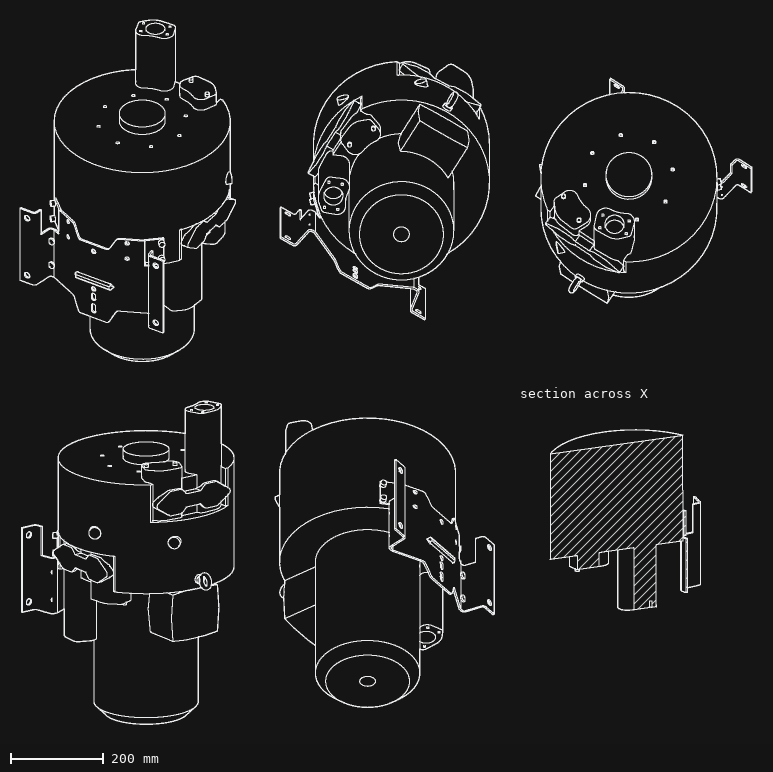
import cadquery as cq
import math


drum_radius = 190.0
drum_height = 246.5
hub_radius = 49.5
hub_height = 20.0
motor_radius = 112.8
motor_bottom = -552.5
cone_radius = 90.5
cone_bottom = -575.0
dome_radius = 17.0
dome_tip = -582.03
cover_hole_count = 8
cover_hole_circle = 96.0
cover_hole_diameter = 7.0
cover_hole_depth = 10.0

upper_tilt = -1.33
lower_tilt = 0.0
port_circle = 148.4
port_angle = 22.5
flat_distance = 160.0
flat_depth = 85.0
pocket_front = 140.0
pocket_inner_x = 70.0
pocket_outer_x = 96.0
tube_top = 140.0
tube_bore_diameter = 41.0
tube_bore_depth = 40.0
tube_hole_circle = 32.5
tube_hole_angles = (-5.0, 48.0, 175.0, 228.0)
tube_hole_diameter = 5.0
tube_hole_depth = 15.0
cap_height = 28.0
cap_bolt_offsets = ((-28.0, 10.5), (30.0, -14.5))
cap_bolt_diameter = 9.0
cap_bolt_height = 6.5
flange_half_span = 103.0
flange_gap = 4.0
flange_back = 177.0
flange_top = -18.0
flange_bottom = -73.5
flange_tip_level = -46.0
flange_flat_start = 31.0
flange_flat_end = 62.0
flange_corner_radius = 8.0
neck_height = 30.0
plug_offset = 86.3
plug_diameter = 26.0
plug_end = 176.25
plug_length = 30.0
plug_level = -118.5
group_mid_level = -125.5

box_back = 177.0
box_mid_level = -306.0
box_half_height = 56.0
box_shoulder_half_height = 52.5
box_half_width = 64.0
box_shoulder_half_width = 60.0
box_top_half_width = 25.0

eye_level = -224.7
eye_tip = 231.84
eye_outer_radius = 18.9
eye_inner_radius = 10.2
eye_half_thickness = 5.5
eye_collar_radius = 10.0
eye_neck_radius = 6.0
eye_collar_end = drum_radius + 6.5
eye_neck_end = eye_collar_end + 4.0

sheet = 4.0
bracket_back = -206.0
plate_y = -195.0
bracket_top = -176.7
bracket_bottom = -367.8
tongue_top = -208.7
tongue_bottom = -402.7
tongue_half_width = 37.0
tongue_shoulder = 54.5
tongue_corner_radius = 8.0
bend_start_x = 36.0
bend_end = (44.5, -192.9)
strip_start = (124.5, -155.7)
strip_end = (136.6, -155.7)
foot_bend_x = 145.1
foot_end_x = 182.0
bend_radius = 4.0
leg_notch_level = -242.0
leg_notch_y = -185.6
leg_notch_x = 109.5
wing_bottom = -235.0
wing_angle = -46.9
wing_radius = drum_radius + 1.8
wing_start = -33.0
wing_end = 10.3
wing_bolt_offset = 4.5
wing_bolt_diameter = 13.0
wing_bolt_height = 9.0
upper_hole_levels = (-186.0, -226.5)
side_hole_x = 75.2
side_hole_diameter = 8.5
strip_bolt_levels = (-273.0, -336.0)
strip_bolt_x = 130.5
strip_bolt_diameter = 15.0
strip_bolt_front = -161.5
foot_hole_x = 164.0
foot_hole_levels = (-195.7, -347.5)
foot_hole_diameter = 13.5
tongue_hole_diameter = 10.5
tongue_hole_levels = (-226.7, -326.6)
tongue_slots = ((-347.6, 18.5), (-377.8, 23.5))
rib_level = -305.0
rib_half_height = 8.5
rib_crest_half_height = 3.5
rib_projection = 4.5
rib_half_length = 42.0
rib_tip = 50.0
spacer_radius = 11.0
spacer_embed = 2.0

wide = 500.0
clearance = 1.0


def polar(radius, degrees):
    """Point in the XY plane at a radius and an angle."""
    angle = math.radians(degrees)
    return radius * math.cos(angle), radius * math.sin(angle)


def cylinder_z(x, y, bottom, top, radius):
    """Vertical cylinder between two levels."""
    return cq.Workplane("XY", origin=(x, y, bottom)).circle(radius).extrude(top - bottom)


def cylinder_y(x, z, start, end, radius):
    """Cylinder along Y between two stations."""
    return cq.Workplane("XZ", origin=(x, start, z)).circle(radius).extrude(start - end)


def block(x_min, x_max, y_min, y_max, z_min, z_max):
    """Box given by its limits."""
    base = cq.Workplane("XY").box(x_max - x_min, y_max - y_min, z_max - z_min, centered=False)
    return base.translate((x_min, y_min, z_min))


def with_mirror(solid):
    """Solid together with its mirror image across the YZ plane."""
    return solid.union(solid.mirror("YZ"))



def drum_and_motor():
    dome_height = cone_bottom - dome_tip
    dome_sphere = (dome_radius ** 2 + dome_height ** 2) / (2 * dome_height)
    dome_mid_x = dome_radius / 2
    dome_mid_z = dome_tip + dome_sphere - math.sqrt(dome_sphere ** 2 - dome_mid_x ** 2)
    profile = (
        cq.Workplane("XZ")
        .moveTo(0, hub_height)
        .lineTo(hub_radius, hub_height)
        .lineTo(hub_radius, 0)
        .lineTo(drum_radius, 0)
        .lineTo(drum_radius, -drum_height)
        .lineTo(motor_radius, -drum_height)
        .lineTo(motor_radius, motor_bottom)
        .lineTo(cone_radius, cone_bottom)
        .lineTo(dome_radius, cone_bottom)
        .threePointArc((dome_mid_x, dome_mid_z), (0, dome_tip))
        .close()
    )
    return profile.revolve(360, (0, 0, 0), (0, 1, 0))


def cover_holes():
    holes = cq.Workplane("XY")
    for index in range(cover_hole_count):
        x, y = polar(cover_hole_circle, upper_tilt + index * 360 / cover_hole_count)
        holes = holes.union(cylinder_z(x, y, -cover_hole_depth, 0, cover_hole_diameter / 2))
    return holes



def lobed_body(bottom, top):
    """Four-lobed prism centred on its bore; three sides bulge, one is slightly hollow."""
    outline = (
        cq.Workplane("XY", origin=(0, 0, bottom))
        .moveTo(-42, -3)
        .threePointArc((-42.5, 1), (-41, 5))
        .lineTo(-28, 20)
        .threePointArc((-17, 27.5), (-5, 31))
        .lineTo(22, 33)
        .threePointArc((31, 31), (36, 23))
        .lineTo(44, 5)
        .threePointArc((42, -13), (27, -22.5))
        .threePointArc((10, -26), (-5, -33))
        .threePointArc((-22, -36.5), (-34, -25))
        .close()
    )
    return outline.extrude(top - bottom)


def silencer_tube():
    tube = lobed_body(-flat_depth, tube_top)
    tube = tube.cut(cylinder_z(0, 0, tube_top - tube_bore_depth, tube_top, tube_bore_diameter / 2))
    for angle in tube_hole_angles:
        x, y = polar(tube_hole_circle, angle)
        hole = cylinder_z(x, y, tube_top - tube_hole_depth, tube_top, tube_hole_diameter / 2)
        tube = tube.cut(hole)
    return tube


def blanking_cap():
    cap = lobed_body(-flat_depth, cap_height).mirror("YZ")
    for x, y in cap_bolt_offsets:
        top = cap_height + cap_bolt_height
        cap = cap.union(cylinder_z(x, y, cap_height, top, cap_bolt_diameter / 2))
    return cap


def port_flange():
    """Two six-sided plates against the drum flat, joined by a lower neck."""
    outline = [
        (flange_half_span, flange_tip_level),
        (flange_flat_end, flange_top),
        (flange_flat_start, flange_top),
        (flange_gap, flange_tip_level),
        (flange_flat_start, flange_bottom),
        (flange_flat_end, flange_bottom),
    ]
    plate = cq.Workplane("XZ", origin=(0, flat_distance, 0)).polyline(outline).close()
    plate = plate.extrude(flat_distance - flange_back).edges("|Y").fillet(flange_corner_radius)
    neck = block(
        -flange_flat_start, flange_flat_start, flat_distance, flange_back,
        flange_tip_level - neck_height / 2, flange_tip_level + neck_height / 2,
    )
    return with_mirror(plate).union(neck)


def port_plug():
    """Round plug pointing outward along the XY diagonal."""
    plug = cq.Workplane("YZ", origin=(plug_end - plug_length, 0, plug_level))
    plug = plug.center(plug_offset, 0).circle(plug_diameter / 2).extrude(plug_length)
    return plug.mirror("XZ").rotate((0, 0, 0), (0, 0, 1), 45)


def port_group(tilt):
    """Everything mounted on one drum flat, tilted about the drum axis."""
    x, y = polar(port_circle, 90 - port_angle)
    group = silencer_tube().translate((-x, y, 0))
    group = group.union(blanking_cap().translate((x, y, 0)))
    group = group.union(port_flange())
    return group.rotate((0, 0, 0), (0, 0, 1), tilt).union(port_plug())


def port_flat(tilt):
    """Volume removed from the drum rim: a flat with a small pocket beside each port."""
    flat = block(-wide, wide, flat_distance, wide, -flat_depth, clearance)
    pocket = block(
        pocket_inner_x, pocket_outer_x, pocket_front, flat_distance, -flat_depth, clearance
    )
    return flat.union(with_mirror(pocket)).rotate((0, 0, 0), (0, 0, 1), tilt)


def turned_over(solid):
    """Solid turned half a turn about the horizontal XY diagonal at the group mid level."""
    return solid.rotate((0, 0, group_mid_level), (1, 1, group_mid_level), 180)



def terminal_box():
    upper = [
        (box_half_width, 0),
        (box_shoulder_half_width, box_shoulder_half_height),
        (box_top_half_width, box_half_height),
        (-box_top_half_width, box_half_height),
        (-box_shoulder_half_width, box_shoulder_half_height),
        (-box_half_width, 0),
    ]
    lower = [(x, -z) for x, z in reversed(upper[1:-1])]
    outline = cq.Workplane("XZ", origin=(0, 0, box_mid_level)).polyline(upper + lower).close()
    return outline.extrude(-box_back)


def lifting_eye():
    ring_radius = (eye_outer_radius + eye_inner_radius) / 2
    ring_half_width = (eye_outer_radius - eye_inner_radius) / 2
    ring_y = eye_tip - eye_outer_radius
    ring = (
        cq.Workplane("XY", origin=(0, ring_y, eye_level))
        .center(0, ring_radius)
        .ellipse(eye_half_thickness, ring_half_width)
        .revolve(360, (0, -ring_radius, 0), (1, -ring_radius, 0))
    )
    collar = (
        cq.Workplane("XY", origin=(0, 0, eye_level))
        .moveTo(0, drum_radius - eye_collar_radius)
        .lineTo(eye_collar_radius, drum_radius - eye_collar_radius)
        .lineTo(eye_collar_radius, eye_collar_end)
        .lineTo(eye_neck_radius, eye_neck_end)
        .lineTo(0, eye_neck_end)
        .close()
        .revolve(360, (0, 0, 0), (0, 1, 0))
    )
    return ring.union(collar)



def offset_path(path, distance):
    """Path moved sideways by a distance, with mitred corners."""
    headings = [math.atan2(b[1] - a[1], b[0] - a[0]) for a, b in zip(path, path[1:])]
    moved = []
    for index, (x, y) in enumerate(path):
        before = headings[max(index - 1, 0)]
        after = headings[min(index, len(headings) - 1)]
        normal = (before + after) / 2 + math.pi / 2
        reach = distance / math.cos((after - before) / 2)
        moved.append((x + reach * math.cos(normal), y + reach * math.sin(normal)))
    return moved


def bent_sheet(path, bottom, top):
    """Sheet metal that follows a path in the XY plane, with sharp bends."""
    left = offset_path(path, sheet / 2)
    right = offset_path(path, -sheet / 2)
    outline = cq.Workplane("XY", origin=(0, 0, bottom)).polyline(left + right[::-1]).close()
    return outline.extrude(top - bottom)


def front_outline():
    """Front silhouette of the bracket, including the lower centre tongue."""
    points = [
        (-wide, bracket_top), (-tongue_shoulder, bracket_top),
        (-tongue_half_width, tongue_top), (tongue_half_width, tongue_top),
        (tongue_shoulder, bracket_top), (wide, bracket_top),
        (wide, bracket_bottom), (tongue_shoulder, bracket_bottom),
        (tongue_half_width, tongue_bottom), (-tongue_half_width, tongue_bottom),
        (-tongue_shoulder, bracket_bottom), (-wide, bracket_bottom),
    ]
    prism = cq.Workplane("XZ").polyline(points).close().extrude(wide)
    inside = cq.selectors.BoxSelector(
        (-tongue_shoulder - clearance, -wide, tongue_bottom - clearance),
        (tongue_shoulder + clearance, 0, bracket_top + clearance),
    )
    return prism.edges("|Y").edges(inside).fillet(tongue_corner_radius)


def round_bend(body, corner, radius):
    """Body with the vertical edge at a corner rounded."""
    x, y = corner
    reach = sheet / 4
    near = cq.selectors.BoxSelector((x - reach, y - reach, -wide), (x + reach, y + reach, 0))
    return body.edges("|Z").edges(near).fillet(radius)


def bracket_sheet():
    """One full-width sheet: centre plate, two slopes, and a foot on each side."""
    foot_y = bracket_back + sheet / 2
    half = [
        (bend_start_x, plate_y), bend_end, strip_start, strip_end,
        (foot_bend_x, foot_y), (foot_end_x, foot_y),
    ]
    path = [(-x, y) for x, y in reversed(half)] + half
    body = bent_sheet(path, tongue_bottom, bracket_top)
    foot_bends = (1, 2, len(path) - 3, len(path) - 2)
    for index in foot_bends:
        x, y = path[index]
        before_x, before_y = path[index - 1]
        after_x, after_y = path[index + 1]
        turn = (x - before_x) * (after_y - y) - (y - before_y) * (after_x - x)
        inner_side = math.copysign(sheet / 2, turn)
        body = round_bend(body, offset_path(path, inner_side)[index], bend_radius)
        body = round_bend(body, offset_path(path, -inner_side)[index], bend_radius + sheet)
    return body.intersect(front_outline())


def bracket_openings():
    """Leg notch and holes on the +X side of the bracket."""
    cutter = block(leg_notch_x, wide, leg_notch_y, 0, leg_notch_level, 0)
    for z in upper_hole_levels:
        hole = cylinder_y(side_hole_x, z, bracket_back, strip_end[1], side_hole_diameter / 2)
        cutter = cutter.union(hole)
    for z in foot_hole_levels:
        hole = cylinder_y(foot_hole_x, z, bracket_back, leg_notch_y, foot_hole_diameter / 2)
        cutter = cutter.union(hole)
    return cutter


def strip_bolts():
    """Low round heads on the bend strip of the +X foot."""
    heads = cq.Workplane("XY")
    for z in strip_bolt_levels:
        head = cylinder_y(strip_bolt_x, z, strip_bolt_front, strip_end[1], strip_bolt_diameter / 2)
        heads = heads.union(head)
    return heads


def tongue_openings():
    """Round holes and upright slots on the centre line."""
    plane = cq.Workplane("XZ", origin=(0, plate_y + sheet, 0))
    holes = plane.pushPoints([(0, z) for z in tongue_hole_levels]).circle(tongue_hole_diameter / 2)
    cutter = holes.extrude(3 * sheet)
    for z, length in tongue_slots:
        slot = plane.center(0, z).slot2D(length, tongue_hole_diameter, 90).extrude(3 * sheet)
        cutter = cutter.union(slot)
    return cutter


def stiffening_rib():
    """Raised bead across the centre plate with pointed ends."""
    face = plate_y - sheet / 2
    base = face + sheet
    crest = face - rib_projection
    section = [
        (base, rib_half_height), (face, rib_half_height), (crest, rib_crest_half_height),
        (crest, -rib_crest_half_height), (face, -rib_half_height), (base, -rib_half_height),
    ]
    bead = cq.Workplane("YZ", origin=(-rib_tip, 0, rib_level)).polyline(section).close()
    plan = [
        (-rib_half_length, crest), (rib_half_length, crest), (rib_tip, base), (-rib_tip, base),
    ]
    front = [
        (-rib_half_length, rib_half_height), (rib_half_length, rib_half_height), (rib_tip, 0),
        (rib_half_length, -rib_half_height), (-rib_half_length, -rib_half_height), (-rib_tip, 0),
    ]
    plan_limit = cq.Workplane("XY", origin=(0, 0, rib_level - rib_half_height)).polyline(plan).close()
    front_limit = cq.Workplane("XZ", origin=(0, base, rib_level)).polyline(front).close()
    bead = bead.extrude(2 * rib_tip).intersect(plan_limit.extrude(2 * rib_half_height))
    return bead.intersect(front_limit.extrude(base - crest))


def drum_wing():
    """Tangent plate against the drum on the +X side, with its two bolt heads."""
    inner = wing_radius - sheet / 2
    outer = wing_radius + sheet / 2
    wing = block(inner, outer, wing_start, wing_end, wing_bottom, bracket_top)
    for z in upper_hole_levels:
        head = cq.Workplane("YZ", origin=(inner, wing_bolt_offset, z))
        wing = wing.union(head.circle(wing_bolt_diameter / 2).extrude(sheet + wing_bolt_height))
    return wing.rotate((0, 0, 0), (0, 0, 1), wing_angle)


def mounting_bracket():
    bracket = bracket_sheet().cut(with_mirror(bracket_openings()))
    bracket = bracket.union(with_mirror(strip_bolts()))
    bracket = bracket.union(stiffening_rib()).cut(tongue_openings())
    spacer_end = -drum_radius + spacer_embed
    spacer = cylinder_y(0, tongue_hole_levels[0], plate_y + sheet / 2, spacer_end, spacer_radius)
    return bracket.union(spacer).union(with_mirror(drum_wing()))



body = drum_and_motor().cut(port_flat(upper_tilt)).cut(turned_over(port_flat(lower_tilt))).cut(cover_holes())
body = body.union(port_group(upper_tilt)).union(turned_over(port_group(lower_tilt)))
body = body.union(terminal_box()).union(lifting_eye())
result = body.union(mounting_bracket())